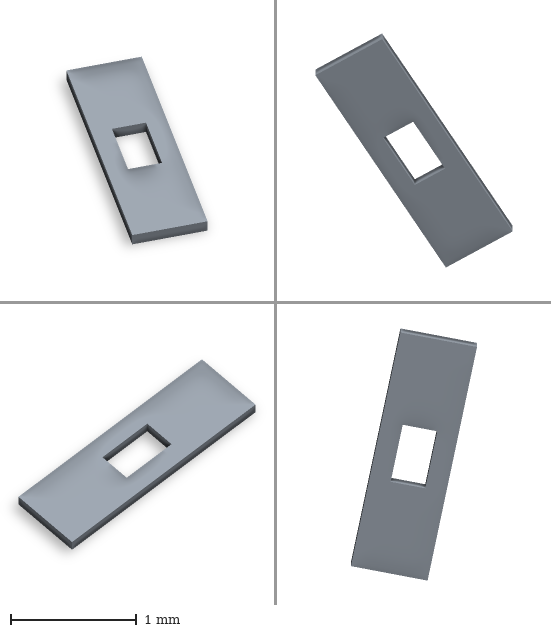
import cadquery as cq

length = 2.0
width = 0.62
thickness = 0.1

window_length = 0.488
window_width = 0.28

plate = cq.Workplane("XY").box(length, width, thickness)
result = plate.faces(">Z").workplane().rect(window_length, window_width).cutThruAll()